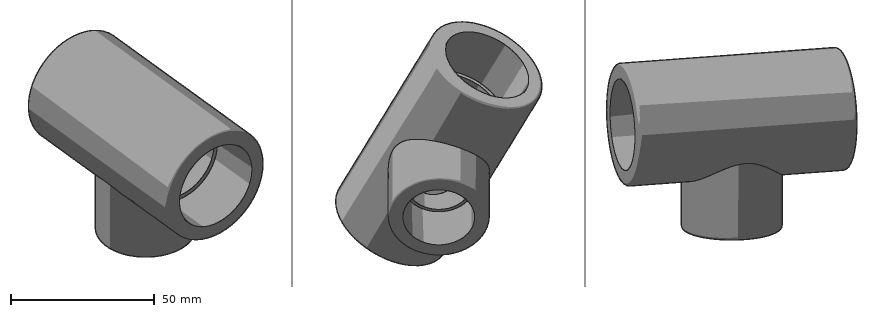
import cadquery as cq

run_length = 79.0
run_diameter = 43.0
run_bore_diameter = 28.8
run_socket_diameter = 32.0
run_socket_depth = 19.5

overall_height = 61.5
branch_diameter = 35.2
branch_bore_diameter = 22.8
branch_socket_diameter = 25.0
branch_socket_depth = 18.0

rim_radius = 1.0

branch_reach = overall_height - run_diameter / 2


def run_cylinder(diameter, start_x, length):
    """Cylinder along +X, on the axis of the main pipe."""
    return cq.Workplane("YZ", origin=(start_x, 0, 0)).circle(diameter / 2).extrude(length)


def branch_cylinder(diameter, length):
    """Cylinder rising from the open end of the branch."""
    return cq.Workplane("XY", origin=(0, 0, -branch_reach)).circle(diameter / 2).extrude(length)


run_body = run_cylinder(run_diameter, -run_length / 2, run_length).edges("%CIRCLE").fillet(rim_radius)
branch_body = branch_cylinder(branch_diameter, branch_reach).faces("<Z").edges().fillet(rim_radius)
body = run_body.union(branch_body)

body = body.cut(run_cylinder(run_bore_diameter, -run_length / 2, run_length))
body = body.cut(branch_cylinder(branch_bore_diameter, branch_reach))

for socket_start in (-run_length / 2, run_length / 2 - run_socket_depth):
    body = body.cut(run_cylinder(run_socket_diameter, socket_start, run_socket_depth))
body = body.cut(branch_cylinder(branch_socket_diameter, branch_socket_depth))

result = body